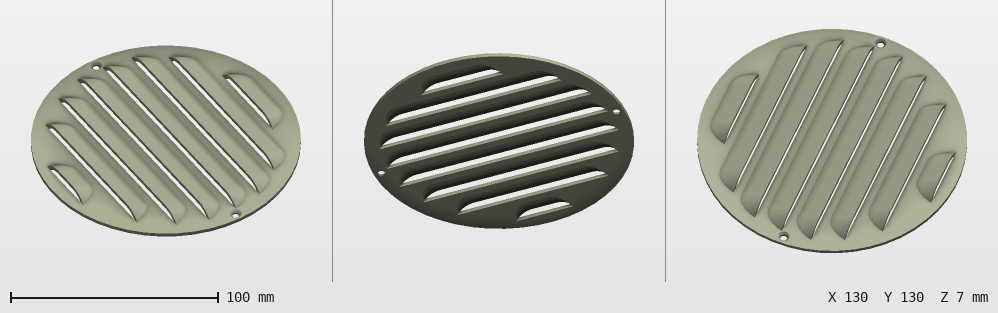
import cadquery as cq
import math

plate_diameter = 130.0
plate_thickness = 2.0
total_height = 7.0

louver_rise = total_height - plate_thickness
louver_depth = 11.0
first_open_face_y = 47.0
last_open_face_y = -58.0
hood_end_radius = 11.8
hood_wall = 2.0
hood_half_widths = [22.1, 46.5, 56.2, 58.5, 58.0, 51.9, 40.3, 15.9]
louver_pitch = (first_open_face_y - last_open_face_y) / (len(hood_half_widths) - 1)
long_top_row = 6
long_top_extension = 2.3

screw_spacing = 122.2
screw_hole_diameter = 3.4
countersink_diameter = 5.7
countersink_angle = 90.0


def arc_run(radius, drop):
    """Horizontal reach of an arc, from its level top to a point lower by drop."""
    return math.sqrt(radius**2 - (radius - drop) ** 2)


def sloped_prism(flat_half, radius, top_z, open_y, right_extension=0.0):
    """Flat-topped, round-ended profile swept back and down along the hood slope."""
    end_x = flat_half + radius
    end_z = top_z - radius
    mid_x = flat_half + arc_run(radius, louver_rise)
    mid_z = top_z - louver_rise
    profile = (
        cq.Workplane("XZ", origin=(0, open_y, 0))
        .moveTo(-flat_half, top_z)
        .lineTo(flat_half + right_extension, top_z)
        .threePointArc((mid_x, mid_z), (end_x, end_z))
        .lineTo(-end_x, end_z)
        .threePointArc((-mid_x, mid_z), (-flat_half, top_z))
        .close()
    )
    slope = cq.Vector(0, louver_depth, -louver_rise)
    return cq.Workplane(cq.Solid.extrudeLinear(profile.val(), [], slope))


def screw_hole(x):
    """Through hole with a conical countersink in the top of the plate."""
    hole_radius = screw_hole_diameter / 2
    sink_radius = countersink_diameter / 2
    sink_depth = (sink_radius - hole_radius) / math.tan(math.radians(countersink_angle / 2))
    sink_base = cq.Vector(x, 0, plate_thickness - sink_depth)
    countersink = cq.Solid.makeCone(hole_radius, sink_radius, sink_depth, pnt=sink_base)
    shank = cq.Workplane("XY").center(x, 0).circle(hole_radius).extrude(plate_thickness)
    return shank.union(cq.Workplane(countersink))


result = cq.Workplane("XY").circle(plate_diameter / 2).extrude(plate_thickness)

envelope = cq.Workplane("XY").circle(plate_diameter / 2).extrude(total_height)

for row, half_width in enumerate(hood_half_widths):
    open_y = first_open_face_y - row * louver_pitch
    flat_half = half_width - arc_run(hood_end_radius, louver_rise)
    extension = long_top_extension if row == long_top_row else 0.0
    hood = sloped_prism(flat_half, hood_end_radius, total_height, open_y, extension)
    cavity = sloped_prism(flat_half, hood_end_radius - hood_wall, total_height - hood_wall, open_y)
    result = result.union(hood.intersect(envelope)).cut(cavity)

for screw_x in (-screw_spacing / 2, screw_spacing / 2):
    result = result.cut(screw_hole(screw_x))